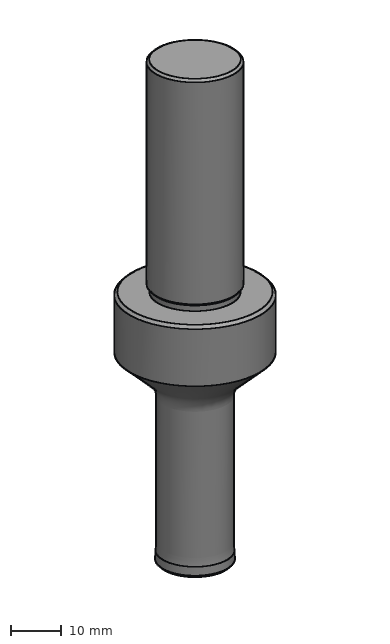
import cadquery as cq
import math

total_height = 109.6

shank_radius = 9.5
shank_bottom = 61.0
shank_chamfer = 0.5
neck_radius = shank_radius - shank_chamfer

collar_radius = 15.9
collar_top = 59.2
collar_bottom = 46.2
collar_chamfer = 0.7
cone_height = 7.3
cone_fillet = 4.6

stem_radius = 7.7
flare_top = 5.0
joint_height = 3.2
joint_radius = 7.8

tip_radius = 7.9
tip_chamfer = 0.7
crown_height = 0.7


def revolve_profile(profile):
    """Turn a closed radius-height profile about the Z axis."""
    return profile.revolve(360, (0, 0, 0), (0, 1, 0))


def make_holder():
    """Shank, collar and stem, down to the flat joint with the tip."""
    cone_angle = math.atan2(cone_height, collar_radius - stem_radius)
    cone_end = collar_bottom - cone_height
    tangent_length = cone_fillet * math.tan((math.pi / 2 - cone_angle) / 2)
    fillet_start = (
        stem_radius + tangent_length * math.cos(cone_angle),
        cone_end + tangent_length * math.sin(cone_angle),
    )
    fillet_end = (stem_radius, cone_end - tangent_length)

    profile = (
        cq.Workplane("XZ")
        .moveTo(0, total_height)
        .lineTo(shank_radius - shank_chamfer, total_height)
        .lineTo(shank_radius, total_height - shank_chamfer)
        .lineTo(shank_radius, shank_bottom)
        .lineTo(neck_radius, shank_bottom - shank_chamfer)
        .lineTo(neck_radius, collar_top)
        .lineTo(collar_radius - collar_chamfer, collar_top)
        .lineTo(collar_radius, collar_top - collar_chamfer)
        .lineTo(collar_radius, collar_bottom)
        .lineTo(*fillet_start)
        .tangentArcPoint(fillet_end, relative=False)
        .lineTo(stem_radius, flare_top)
        .tangentArcPoint((joint_radius, joint_height), relative=False)
        .lineTo(0, joint_height)
        .close()
    )
    return revolve_profile(profile)


def make_tip():
    """Tapered disc below the stem, with a chamfered rim and a crowned end."""
    face_radius = tip_radius - tip_chamfer
    crown_radius = (face_radius**2 + crown_height**2) / (2 * crown_height)
    middle_radius = face_radius / 2
    middle_height = crown_radius - math.sqrt(crown_radius**2 - middle_radius**2)

    profile = (
        cq.Workplane("XZ")
        .moveTo(0, joint_height)
        .lineTo(joint_radius, joint_height)
        .lineTo(tip_radius, crown_height + tip_chamfer)
        .lineTo(face_radius, crown_height)
        .threePointArc((middle_radius, middle_height), (0, 0))
        .close()
    )
    return revolve_profile(profile)


holder = make_holder()
tip = make_tip()

result = cq.Compound.makeCompound([holder.val(), tip.val()])